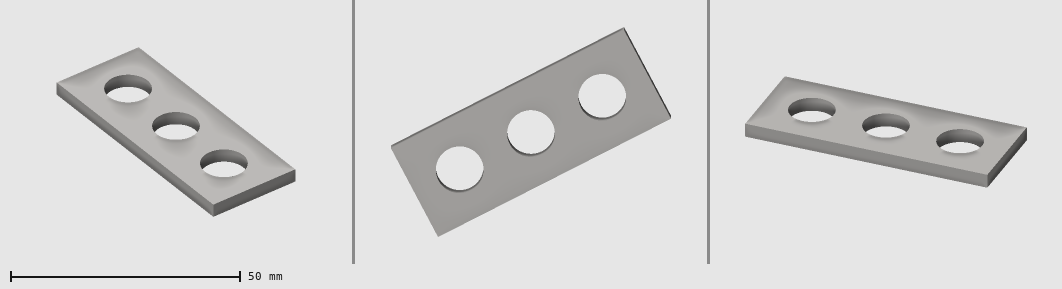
import cadquery as cq

length = 57.15
width = 22.25
thickness = 3.25

hole_diameter = 10.4
hole_count = 3
hole_pitch = 17.5

plate = cq.Workplane("XY").box(length, width, thickness)

result = (
    plate.faces(">Z")
    .workplane()
    .rarray(hole_pitch, width, hole_count, 1)
    .hole(hole_diameter)
)